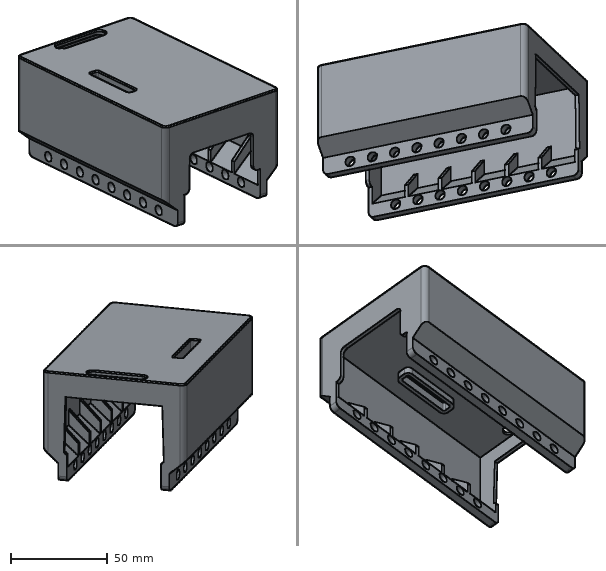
import cadquery as cq

LENGTH = 120.3
WIDTH = 77.8
HEIGHT = 59.5

WALL = 2.0
ROOF_THICKNESS = 2.5
SHOULDER_THICKNESS = 1.8
CORNER_RADIUS = 3.0
TOP_CHAMFER = 0.7

LEG_INNER_Y = 25.6
LEG_THICKNESS = 4.6
LEG_OUTER_Y = LEG_INNER_Y + LEG_THICKNESS
SHOULDER_TOP_Z = 17.5
SHOULDER_BOTTOM_Z = 9.9
HOLE_DIAMETER = 5.3
HOLE_COUNT = 8
HOLE_PITCH = 12.8
HOLE_Z = 4.7

RIB_COUNT = 5
RIB_PITCH = 19.1
RIB_THICKNESS = 2.0
RIB_NOSE_HEIGHT = 6.7

FRONT_OPENING_TOP_Z = 46.5
FRONT_OPENING_TOP_Y = 26.3
FRONT_OPENING_BOTTOM_Y = 27.2
FRONT_OPENING_BOTTOM_Z = 16.1
FRONT_OPENING_LEDGE_Z = 14.8

REAR_OPENING_TOP_Z = 39.8
REAR_OPENING_Y = 21.7
REAR_OPENING_SHIFT_Y = -0.6
REAR_OPENING_BOTTOM_Z = 17.5
REAR_OPENING_RADIUS = 2.9

SLOT_LENGTH = 31.5
SLOT_CHAMFER = 0.7
END_FLAT = 0.01
ROUND_SLOT_WIDTH = 6.0
ROUND_SLOT_X = -54.5
BAR_SLOT_WIDTH = 4.9
BAR_SLOT_X = -2.4
BAR_SLOT_Y = -21.7
BAR_SLOT_RADIUS = 1.0
COLLAR_DEPTH = 4.2

HALF_WIDTH = WIDTH / 2
INNER_Y = HALF_WIDTH - WALL
INNER_LENGTH = LENGTH - 2 * WALL
ROOF_Z = HEIGHT - ROOF_THICKNESS
SHOULDER_SLOPE = (SHOULDER_TOP_Z - SHOULDER_BOTTOM_Z) / (HALF_WIDTH - LEG_OUTER_Y)


def shoulder_floor_z(y):
    """Height of the inner face of the sloped shoulder at distance y from the middle."""
    return SHOULDER_BOTTOM_Z + (y - LEG_OUTER_Y) * SHOULDER_SLOPE + SHOULDER_THICKNESS


def prism(half_outline, length, center_x=0.0):
    """Extrude a YZ outline, given by its +Y half from bottom to top, along X."""
    mirrored = [(-y, z) for y, z in reversed(half_outline)]
    solid = cq.Workplane("YZ").polyline(half_outline + mirrored).close().extrude(length / 2, both=True)
    return solid.translate((center_x, 0, 0))


def standing_box(length, width, height):
    """Box centred in X and Y with its bottom face on Z = 0."""
    return cq.Workplane("XY").box(length, width, height, centered=(True, True, False))


def make_outer_body():
    body = standing_box(LENGTH, WIDTH, HEIGHT)
    body = body.edges("|Z").fillet(CORNER_RADIUS)
    body = body.faces(">Z").edges().chamfer(TOP_CHAMFER)
    profile = prism(
        [
            (LEG_OUTER_Y, 0),
            (LEG_OUTER_Y, SHOULDER_BOTTOM_Z),
            (HALF_WIDTH, SHOULDER_TOP_Z),
            (HALF_WIDTH, HEIGHT),
        ],
        LENGTH,
    )
    leg_corners = standing_box(LENGTH, WIDTH, HEIGHT).edges("|Y and <Z").fillet(CORNER_RADIUS)
    return body.intersect(profile).intersect(leg_corners)


def make_cavity():
    return prism(
        [
            (LEG_INNER_Y, 0),
            (LEG_INNER_Y, shoulder_floor_z(LEG_INNER_Y)),
            (INNER_Y, shoulder_floor_z(INNER_Y)),
            (INNER_Y, ROOF_Z),
        ],
        INNER_LENGTH,
    )


def make_front_opening():
    return prism(
        [
            (LEG_INNER_Y, 0),
            (LEG_INNER_Y, FRONT_OPENING_LEDGE_Z),
            (FRONT_OPENING_BOTTOM_Y, FRONT_OPENING_BOTTOM_Z),
            (FRONT_OPENING_TOP_Y, FRONT_OPENING_TOP_Z),
        ],
        WALL,
        -(LENGTH - WALL) / 2,
    )


def make_rear_opening():
    """Rounded window set slightly off the middle, above the full gap between the legs."""
    gap = standing_box(WALL, 2 * LEG_INNER_Y, REAR_OPENING_BOTTOM_Z)
    window_height = REAR_OPENING_TOP_Z - REAR_OPENING_BOTTOM_Z
    window = standing_box(WALL, 2 * REAR_OPENING_Y, window_height)
    window = window.translate((0, REAR_OPENING_SHIFT_Y, REAR_OPENING_BOTTOM_Z))
    opening = gap.union(window)
    window_edges = cq.selectors.BoxSelector(
        (-WALL, REAR_OPENING_SHIFT_Y - REAR_OPENING_Y - WALL, REAR_OPENING_BOTTOM_Z - WALL),
        (WALL, REAR_OPENING_SHIFT_Y + REAR_OPENING_Y + WALL, HEIGHT),
    )
    opening = opening.edges("|X").edges(window_edges).fillet(REAR_OPENING_RADIUS)
    return opening.translate(((LENGTH - WALL) / 2, 0, 0))


def make_rib(x, side):
    """Gusset at x; side is +1 or -1 for the +Y or -Y shoulder."""
    nose_z = shoulder_floor_z(LEG_INNER_Y) + RIB_NOSE_HEIGHT
    rise = INNER_Y - LEG_INNER_Y
    root_y = INNER_Y + WALL / 2
    outline = [
        (side * LEG_INNER_Y, shoulder_floor_z(LEG_INNER_Y) - SHOULDER_THICKNESS / 2),
        (side * LEG_INNER_Y, nose_z),
        (side * INNER_Y, nose_z + rise),
        (side * root_y, nose_z + rise),
        (side * root_y, shoulder_floor_z(root_y) - SHOULDER_THICKNESS / 2),
    ]
    rib = cq.Workplane("YZ").polyline(outline).close().extrude(RIB_THICKNESS / 2, both=True)
    return rib.translate((x, 0, 0))


def make_leg_holes():
    return (
        cq.Workplane("XZ", origin=(0, 0, HOLE_Z))
        .rarray(HOLE_PITCH, 1.2, HOLE_COUNT, 1)
        .circle(HOLE_DIAMETER / 2)
        .extrude(HALF_WIDTH, both=True)
    )


def make_slot_prism(length, width, corner_radius, bottom_z, top_z):
    """Upright block with rounded vertical edges, spanning bottom_z to top_z."""
    slot = standing_box(length, width, top_z - bottom_z)
    return slot.edges("|Z").fillet(corner_radius).translate((0, 0, bottom_z))


def make_roof_slot(length, width, corner_radius, depth):
    """Slot along X, centred on the Z axis, flared by a chamfer at the top face."""
    through = make_slot_prism(length, width, corner_radius, HEIGHT - depth, HEIGHT)
    flare = make_slot_prism(
        length + 2 * SLOT_CHAMFER,
        width + 2 * SLOT_CHAMFER,
        corner_radius + SLOT_CHAMFER,
        HEIGHT - SLOT_CHAMFER,
        HEIGHT + SLOT_CHAMFER,
    )
    flare = flare.faces("<Z").edges().chamfer(SLOT_CHAMFER)
    return through.union(flare)


def make_bar_slot_collar():
    return make_slot_prism(
        SLOT_LENGTH + 2 * WALL,
        BAR_SLOT_WIDTH + 2 * WALL,
        BAR_SLOT_RADIUS + WALL,
        ROOF_Z - COLLAR_DEPTH,
        ROOF_Z,
    )


result = make_outer_body().cut(make_cavity()).cut(make_front_opening()).cut(make_rear_opening())

for index in range(RIB_COUNT):
    rib_x = (index - (RIB_COUNT - 1) / 2) * RIB_PITCH
    for side in (-1, 1):
        result = result.union(make_rib(rib_x, side))

result = result.cut(make_leg_holes())

round_slot_radius = ROUND_SLOT_WIDTH / 2 - END_FLAT
round_slot = make_roof_slot(SLOT_LENGTH, ROUND_SLOT_WIDTH, round_slot_radius, ROOF_THICKNESS)
result = result.cut(round_slot.rotate((0, 0, 0), (0, 0, 1), 90).translate((ROUND_SLOT_X, 0, 0)))

bar_slot_place = (BAR_SLOT_X, BAR_SLOT_Y, 0)
bar_slot_depth = ROOF_THICKNESS + COLLAR_DEPTH
bar_slot = make_roof_slot(SLOT_LENGTH, BAR_SLOT_WIDTH, BAR_SLOT_RADIUS, bar_slot_depth)
result = result.union(make_bar_slot_collar().translate(bar_slot_place))
result = result.cut(bar_slot.translate(bar_slot_place))